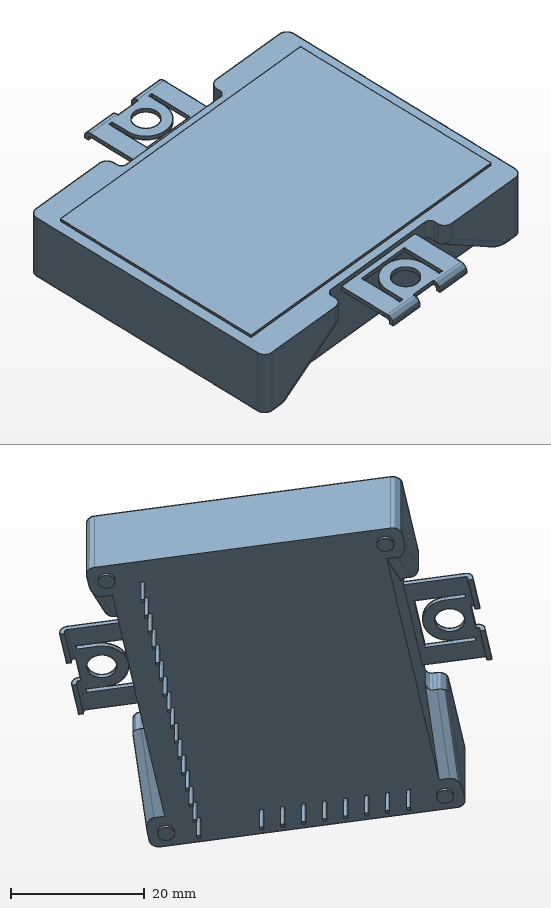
import cadquery as cq
import math

overall_x = 62.8
overall_height = 16.0
body_x = 48.0
body_y = 56.7
body_height = 11.6
corner_radius = 1.5

plate_x = 38.8
plate_y = 53.0
plate_thickness = 0.45

recess_depth = 3.15
recess_half_width = 11.35
recess_straight_depth = 3.8
recess_foot_half_width = 22.4
recess_rim_radius = 1.5
recess_inner_radius = 1.0

tab_width = 16.25
tab_thickness = 0.75
tab_drop = 0.9
tab_top_z = body_height - tab_drop
lip_drop = 1.6
bend_outer_diameter = 2.3
bend_outer_radius = bend_outer_diameter / 2
bend_inner_radius = bend_outer_radius - tab_thickness
lip_gap_width = 4.4
lip_gap_depth = 1.4

window_start = 1.8
window_end = 9.55
window_width = 9.4
tongue_width = 8.1
tab_hole_inset = 4.95
tab_hole_diameter = 4.5

standoff_diameter = 2.6
standoff_height = 0.45
pin_diameter = 0.6
pin_length = overall_height - body_height - plate_thickness
column_pin_count = 16
column_length = 47.85
pin_pitch = column_length / (column_pin_count - 1)
row_steps = range(-5, 3)
column_step = 5

floor_x = body_x / 2 - recess_depth


def both_sides(solid):
    """Pair a feature on the +X side with its mirror image on the -X side."""
    return solid.union(solid.mirror("YZ"))


def make_recess():
    """Cutter for the +X recess, reaching out to the side face of the housing."""
    straight_end_z = body_height - recess_straight_depth
    cutter = (
        cq.Workplane("YZ", origin=(floor_x, 0, 0))
        .moveTo(-recess_foot_half_width, 0)
        .lineTo(recess_foot_half_width, 0)
        .lineTo(recess_half_width, straight_end_z)
        .lineTo(recess_half_width, body_height)
        .lineTo(-recess_half_width, body_height)
        .lineTo(-recess_half_width, straight_end_z)
        .close()
        .extrude(recess_depth)
    )
    return cutter.edges("|Z and <X").fillet(recess_inner_radius)


def round_recess_rims(body):
    """Round the edges where the recess walls meet the side faces."""
    rims = []
    for edge in body.edges("<X or >X").edges("not(<Z or >Z)").vals():
        if abs(edge.Center().y) < recess_foot_half_width:
            rims.append(edge)
    return body.newObject(rims).fillet(recess_rim_radius)


def make_body():
    body = cq.Workplane("XY").box(body_x, body_y, body_height, centered=(True, True, False))
    body = body.edges("|Z").fillet(corner_radius)
    body = round_recess_rims(body.cut(both_sides(make_recess())))
    plate = (
        cq.Workplane("XY", origin=(0, 0, body_height))
        .rect(plate_x, plate_y)
        .extrude(plate_thickness)
    )
    return body.union(plate)


def make_tab():
    """Mounting tab on the +X side, starting at the recess floor."""
    end_x = overall_x / 2
    bend_x = end_x - bend_outer_radius
    bend_z = tab_top_z - bend_outer_radius
    lip_bottom_z = tab_top_z - lip_drop
    diagonal = math.sqrt(0.5)
    tab = (
        cq.Workplane("XZ", origin=(0, tab_width / 2, 0))
        .moveTo(floor_x, tab_top_z)
        .lineTo(bend_x, tab_top_z)
        .threePointArc(
            (bend_x + bend_outer_radius * diagonal, bend_z + bend_outer_radius * diagonal),
            (end_x, bend_z),
        )
        .lineTo(end_x, lip_bottom_z)
        .lineTo(end_x - tab_thickness, lip_bottom_z)
        .lineTo(end_x - tab_thickness, bend_z)
        .threePointArc(
            (bend_x + bend_inner_radius * diagonal, bend_z + bend_inner_radius * diagonal),
            (bend_x, tab_top_z - tab_thickness),
        )
        .lineTo(floor_x, tab_top_z - tab_thickness)
        .close()
        .extrude(tab_width)
    )

    def cylinder(diameter):
        """Cylinder through the tab on the axis of its hole."""
        return (
            cq.Workplane("XY", origin=(end_x - tab_hole_inset, 0, lip_bottom_z))
            .circle(diameter / 2)
            .extrude(lip_drop)
        )

    def block(start, end, width):
        """Cutting block between two distances from the outer end of the tab."""
        return (
            cq.Workplane("XY", origin=(end_x - (start + end) / 2, 0, lip_bottom_z))
            .rect(end - start, width)
            .extrude(lip_drop)
        )

    lip_gap = block(0, lip_gap_depth, lip_gap_width)
    tongue = block(window_start, tab_hole_inset, tongue_width).union(cylinder(tongue_width))
    window = block(window_start, window_end, window_width).cut(tongue)
    return tab.cut(lip_gap).cut(window).cut(cylinder(tab_hole_diameter))


def make_standoffs():
    """Four low discs, each touching the inner ends of the corner rounds."""
    edge_inset = corner_radius + standoff_diameter / 2
    return (
        cq.Workplane("XY")
        .rect(body_x - 2 * edge_inset, body_y - 2 * edge_inset, forConstruction=True)
        .vertices()
        .circle(standoff_diameter / 2)
        .extrude(-standoff_height)
    )


def make_pins():
    """A column of pins along Y near +X and a row along X near -Y."""
    first_y = -column_length / 2
    column = [(column_step * pin_pitch, first_y + i * pin_pitch) for i in range(column_pin_count)]
    row = [(step * pin_pitch, first_y) for step in row_steps]
    return cq.Workplane("XY").pushPoints(column + row).circle(pin_diameter / 2).extrude(-pin_length)


result = make_body().union(both_sides(make_tab())).union(make_standoffs()).union(make_pins())